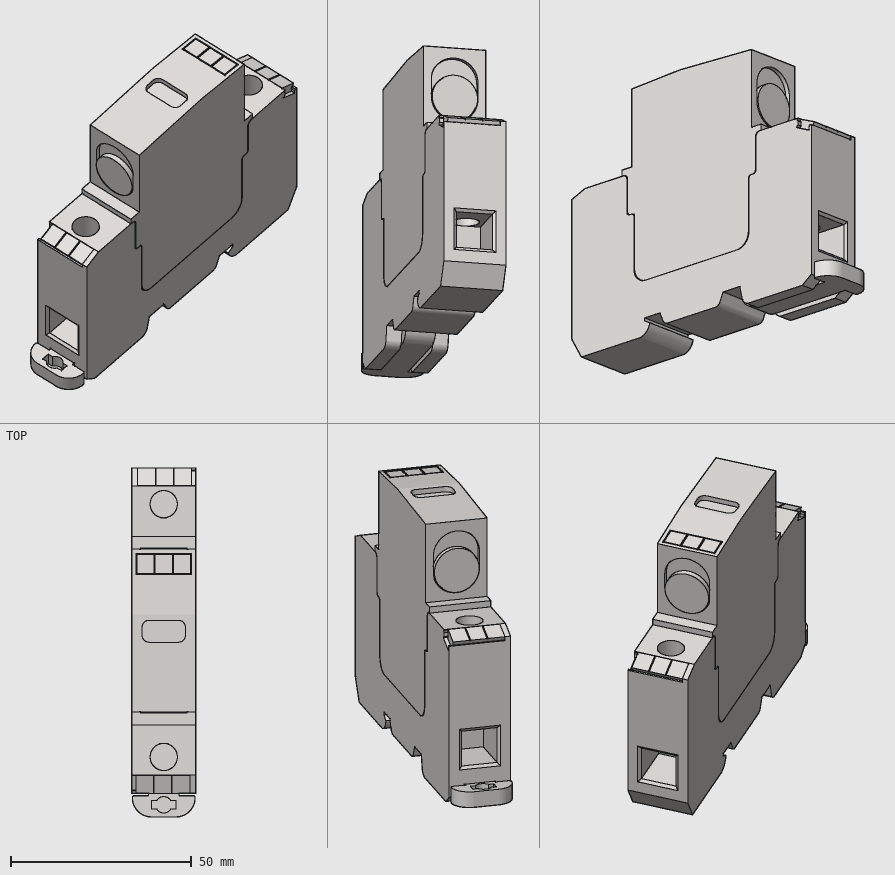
import cadquery as cq
import math

THICKNESS = 17.8
HALF_THICKNESS = THICKNESS / 2
TOTAL_LENGTH = 96.6
HALF_LENGTH = 45.0
BASE_TOP = 50.0
TOTAL_HEIGHT = 75.9

REAR_FOOT_BOTTOM = 0.4
CHAMFER_RUN = 5.0
CHAMFER_DROP = 2.0
RAIL_SEAT_Z = 5.8

FRONT_FOOT_OUTER_Y = -41.6
FRONT_FOOT_OUTER_Z = 2.4
FRONT_FOOT_INNER_Y = -21.5
FRONT_FOOT_RADIUS = 2.6
FRONT_FOOT_ARC_END = (-19.1, 1.6)
FRONT_FOOT_SEAT_Y = -18.2

MIDDLE_FOOT_Z = 2.0
MIDDLE_FOOT_BOTTOM_HALF = 9.2
MIDDLE_FOOT_ARC_MID = (10.2, 2.5)
MIDDLE_FOOT_ARC_END = (10.8, 3.5)
MIDDLE_FOOT_SEAT_HALF = 11.9

REAR_FOOT_OUTER_Y = 41.3
REAR_FOOT_OUTER_Z = 6.7
REAR_FOOT_INNER_Y = 19.1
REAR_FOOT_RADIUS = 4.3
REAR_HOOK_TIP = (15.65, 3.9)
REAR_HOOK_ROOT = (17.6, 4.9)

FIT_GAP = 0.3
SLOT_UPPER_HALF = 24.2
SLOT_LOWER_HALF = 21.6
SLOT_STEP_Z = 37.9
SLOT_FLOOR_Z = 16.9
SLOT_FLOOR_RADIUS = 4.4
SLOT_STEP_RADIUS = 1.0
SLOT_MOUTH_RADIUS = 1.5

SCREW_HOLE_DIAMETER = 7.5
SCREW_HOLE_Y = 35.0
FUNNEL_MOUTH = 12.0
FUNNEL_THROAT = 10.2
FUNNEL_DEPTH = 0.7
FUNNEL_Z = 16.1

STRIP_START_X = -7.7
STRIP_LENGTH = 15.0
TAGS_PER_STRIP = 3
GROOVE_WIDTH = 0.2
GROOVE_DEPTH = 0.3
STRIP_REAR_TOP_Y = -40.1
STRIP_REAR_HOOK = [(-39.7, 49.5), (-40.0, 49.2), (-40.0, 48.0), (-39.4, 47.4)]
STRIP_FRONT_HOOK = [(-44.1, 45.4), (-44.1, 46.5), (-44.6, 47.1)]
LEDGE_Y = -44.3
LEDGE_Z = 46.85

MODULE_HALF = 22.5
MODULE_CORNER_Z = 75.0
RIDGE_Y = 4.3
FLANGE_HALF = 26.1
FLANGE_TOP = 51.9

WINDOW_LENGTH = 12.0
WINDOW_WIDTH = 6.1
WINDOW_RADIUS = 1.9
WINDOW_Y = -0.2
WINDOW_DEPTH = 1.5

PLATE_POCKET_LENGTH = 15.5
PLATE_POCKET_WIDTH = 5.8
PLATE_Y = 18.45
PLATE_DEPTH = 1.0
PLATE_GAP = 0.3

BUTTON_DIAMETER = 12.9
BUTTON_Z = 60.6
BUTTON_PROUD = 0.3
BUTTON_SLOT_WIDTH = 13.3
BUTTON_SLOT_TRAVEL = 4.8
BUTTON_SLOT_DEPTH = 1.4

LATCH_BOTTOM = 1.2
LATCH_TOP = 5.8
LATCH_WIDTH = 8.5
LATCH_SLOT_WIDTH = 9.0
LATCH_TAB_START = 45.7
LATCH_TAB_HALF = 8.7
LATCH_TAB_CORNER = 0.3
LATCH_TAB_ARC_START = 46.8
LATCH_TAB_ARC_MID = (7.2, 49.9)
LATCH_TIP_HALF = 3.7
LATCH_END = TOTAL_LENGTH - HALF_LENGTH
NOSE_BOTTOM_Y = -18.6
NOSE_LOWER_MID = (-16.6, 1.9)
NOSE_LOWER_END = (-15.2, 3.5)
NOSE_TIP = (-15.1, 4.1)
NOSE_UPPER_END = (-15.65, 4.5)
NOSE_ROOT_Z = 5.1
KEY_HOLE_Y = -48.2
KEY_HOLE_DIAMETER = 4.5
KEY_SLOT_LENGTH = 6.8
KEY_SLOT_WIDTH = 2.4
KEY_HOLE_DEPTH = 3.9


def extrude_across(outline, width=THICKNESS, start=-HALF_THICKNESS):
    """Extrude a YZ sketch along +X."""
    return outline.extrude(width).translate((start, 0, 0))


def turned(part):
    """Turn a part half a revolution about Z, from the front end to the rear end."""
    return part.rotate((0, 0, 0), (0, 0, 1), 180)


def chamfer_z(y):
    """Height of the front end chamfer at the given Y."""
    run = -y - (HALF_LENGTH - CHAMFER_RUN)
    return BASE_TOP - CHAMFER_DROP * run / CHAMFER_RUN


def slot_section(clearance):
    """Stepped section of the pocket, drawn smaller by the clearance on its side walls."""
    upper = SLOT_UPPER_HALF - clearance
    lower = SLOT_LOWER_HALF - clearance
    floor_r = SLOT_FLOOR_RADIUS
    step_r = SLOT_STEP_RADIUS
    mouth_r = SLOT_MOUTH_RADIUS
    half = (
        cq.Workplane("YZ")
        .moveTo(0, SLOT_FLOOR_Z)
        .lineTo(lower - floor_r, SLOT_FLOOR_Z)
        .radiusArc((lower, SLOT_FLOOR_Z + floor_r), -floor_r)
        .lineTo(lower, SLOT_STEP_Z - step_r)
        .radiusArc((lower + step_r, SLOT_STEP_Z), step_r)
        .lineTo(upper - step_r, SLOT_STEP_Z)
        .radiusArc((upper, SLOT_STEP_Z + step_r), -step_r)
        .lineTo(upper, BASE_TOP - mouth_r)
        .radiusArc((upper + mouth_r, BASE_TOP), mouth_r)
        .lineTo(0, BASE_TOP)
        .close()
    )
    rear_half = extrude_across(half)
    return rear_half.union(turned(rear_half))


def strip_outline():
    """Hooked YZ outline of the front strip, flush with the end chamfer."""
    return [
        (STRIP_REAR_TOP_Y, chamfer_z(STRIP_REAR_TOP_Y)),
        *STRIP_REAR_HOOK,
        *STRIP_FRONT_HOOK,
        (-HALF_LENGTH, chamfer_z(-HALF_LENGTH)),
    ]


def strip_recess():
    """Recess for the front strip, open at the -X side and along the end face above a small ledge."""
    length = STRIP_START_X + STRIP_LENGTH + HALF_THICKNESS
    seat = extrude_across(cq.Workplane("YZ").polyline(strip_outline()).close(), length)
    mouth = [
        (-HALF_LENGTH, LEDGE_Z),
        (LEDGE_Y, LEDGE_Z),
        (LEDGE_Y, chamfer_z(LEDGE_Y)),
        (-HALF_LENGTH, chamfer_z(-HALF_LENGTH)),
    ]
    return seat.union(extrude_across(cq.Workplane("YZ").polyline(mouth).close(), length))


def terminal():
    """Screw hole and tapered wire entry at the front end."""
    entry_depth = HALF_LENGTH - SCREW_HOLE_Y + SCREW_HOLE_DIAMETER / 2
    face = cq.Workplane("XZ", origin=(0, -HALF_LENGTH, FUNNEL_Z))
    taper = math.degrees(math.atan((FUNNEL_MOUTH - FUNNEL_THROAT) / 2 / FUNNEL_DEPTH))
    mouth = face.rect(FUNNEL_MOUTH, FUNNEL_MOUTH).extrude(-FUNNEL_DEPTH, taper=taper)
    throat = face.rect(FUNNEL_THROAT, FUNNEL_THROAT).extrude(-entry_depth)
    screw = (
        cq.Workplane("XY", origin=(0, -SCREW_HOLE_Y, FUNNEL_Z))
        .circle(SCREW_HOLE_DIAMETER / 2)
        .extrude(BASE_TOP - FUNNEL_Z)
    )
    return mouth.union(throat).union(screw)


def base_block():
    """Plain base with its end chamfers and three feet."""
    arc_mid_y, arc_mid_z = MIDDLE_FOOT_ARC_MID
    arc_end_y, arc_end_z = MIDDLE_FOOT_ARC_END
    outline = (
        cq.Workplane("YZ")
        .moveTo(HALF_LENGTH, BASE_TOP - CHAMFER_DROP)
        .lineTo(HALF_LENGTH - CHAMFER_RUN, BASE_TOP)
        .lineTo(-HALF_LENGTH + CHAMFER_RUN, BASE_TOP)
        .lineTo(-HALF_LENGTH, BASE_TOP - CHAMFER_DROP)
        .lineTo(-HALF_LENGTH, FRONT_FOOT_OUTER_Z)
        .lineTo(FRONT_FOOT_OUTER_Y, 0)
        .lineTo(FRONT_FOOT_INNER_Y, 0)
        .radiusArc(FRONT_FOOT_ARC_END, -FRONT_FOOT_RADIUS)
        .lineTo(FRONT_FOOT_SEAT_Y, RAIL_SEAT_Z)
        .lineTo(-MIDDLE_FOOT_SEAT_HALF, RAIL_SEAT_Z)
        .lineTo(-arc_end_y, arc_end_z)
        .threePointArc((-arc_mid_y, arc_mid_z), (-MIDDLE_FOOT_BOTTOM_HALF, MIDDLE_FOOT_Z))
        .lineTo(MIDDLE_FOOT_BOTTOM_HALF, MIDDLE_FOOT_Z)
        .threePointArc(MIDDLE_FOOT_ARC_MID, MIDDLE_FOOT_ARC_END)
        .lineTo(MIDDLE_FOOT_SEAT_HALF, RAIL_SEAT_Z)
        .lineTo(REAR_HOOK_ROOT[0], RAIL_SEAT_Z)
        .lineTo(*REAR_HOOK_ROOT)
        .lineTo(*REAR_HOOK_TIP)
        .radiusArc((REAR_FOOT_INNER_Y, REAR_FOOT_BOTTOM), -REAR_FOOT_RADIUS)
        .lineTo(REAR_FOOT_OUTER_Y, REAR_FOOT_BOTTOM)
        .lineTo(HALF_LENGTH, REAR_FOOT_OUTER_Z)
        .close()
    )
    return extrude_across(outline)


def make_base():
    latch_slot = cq.Workplane("XY", origin=(0, -HALF_LENGTH, 0)).box(
        LATCH_SLOT_WIDTH, HALF_LENGTH + FRONT_FOOT_SEAT_Y, LATCH_TOP, centered=(True, False, False)
    )
    base = base_block().cut(slot_section(0)).cut(latch_slot)
    for cutter in (strip_recess(), terminal()):
        base = base.cut(cutter).cut(turned(cutter))
    return base


def make_strip():
    """Front marker strip, divided into tags by shallow grooves."""
    strip = extrude_across(
        cq.Workplane("YZ").polyline(strip_outline()).close(), STRIP_LENGTH, STRIP_START_X
    )
    pitch = STRIP_LENGTH / TAGS_PER_STRIP
    groove = [
        (-HALF_LENGTH, chamfer_z(-HALF_LENGTH) - GROOVE_DEPTH),
        (-HALF_LENGTH, BASE_TOP),
        (STRIP_REAR_TOP_Y, BASE_TOP),
        (STRIP_REAR_TOP_Y, chamfer_z(STRIP_REAR_TOP_Y) - GROOVE_DEPTH),
    ]
    for i in range(1, TAGS_PER_STRIP):
        start = STRIP_START_X + i * pitch - GROOVE_WIDTH / 2
        strip = strip.cut(
            extrude_across(cq.Workplane("YZ").polyline(groove).close(), GROOVE_WIDTH, start)
        )
    return strip


def below_roof(lowered=0):
    """Upper block of the module, under its ridged roof or under that roof lowered by a depth."""
    outline = [
        (-MODULE_HALF, BASE_TOP),
        (-MODULE_HALF, MODULE_CORNER_Z - lowered),
        (RIDGE_Y, TOTAL_HEIGHT - lowered),
        (MODULE_HALF, MODULE_CORNER_Z - lowered),
        (MODULE_HALF, BASE_TOP),
    ]
    return extrude_across(cq.Workplane("YZ").polyline(outline).close())


def column(length, width, y):
    """Upright block from the flange up to the full height."""
    return (
        cq.Workplane("XY", origin=(0, y, FLANGE_TOP))
        .rect(length, width)
        .extrude(TOTAL_HEIGHT - FLANGE_TOP)
    )


def make_module():
    flange = cq.Workplane("XY", origin=(0, 0, BASE_TOP)).rect(THICKNESS, 2 * FLANGE_HALF)
    module = slot_section(FIT_GAP).union(flange.extrude(FLANGE_TOP - BASE_TOP)).union(below_roof())
    window = column(WINDOW_LENGTH, WINDOW_WIDTH, WINDOW_Y).edges("|Z").fillet(WINDOW_RADIUS)
    module = module.cut(window.cut(below_roof(WINDOW_DEPTH)))
    plate_pocket = column(PLATE_POCKET_LENGTH, PLATE_POCKET_WIDTH, PLATE_Y)
    module = module.cut(plate_pocket.cut(below_roof(PLATE_DEPTH)))
    button_slot = (
        cq.Workplane("XZ", origin=(0, -MODULE_HALF, BUTTON_Z + BUTTON_SLOT_TRAVEL / 2))
        .slot2D(BUTTON_SLOT_TRAVEL + BUTTON_SLOT_WIDTH, BUTTON_SLOT_WIDTH, 90)
        .extrude(-BUTTON_SLOT_DEPTH)
    )
    return module.cut(button_slot).cut(turned(button_slot))


def make_plate():
    """Marker plate, flush with the roof, with a gap all round and grooves between its tags."""
    length = PLATE_POCKET_LENGTH - 2 * PLATE_GAP
    width = PLATE_POCKET_WIDTH - 2 * PLATE_GAP
    plate = column(length, width, PLATE_Y).intersect(below_roof()).cut(below_roof(PLATE_DEPTH))
    pitch = (length + PLATE_GAP) / TAGS_PER_STRIP
    for i in range(1, TAGS_PER_STRIP):
        x = i * pitch - (length + PLATE_GAP) / 2
        groove = column(PLATE_GAP, width, PLATE_Y).translate((x, 0, 0))
        plate = plate.cut(groove.cut(below_roof(GROOVE_DEPTH)))
    return plate


def make_button():
    """Front button, which rests on the floor of its slot and stands slightly proud."""
    return (
        cq.Workplane("XZ", origin=(0, -MODULE_HALF + BUTTON_SLOT_DEPTH, BUTTON_Z))
        .circle(BUTTON_DIAMETER / 2)
        .extrude(BUTTON_SLOT_DEPTH + BUTTON_PROUD)
    )


def make_latch():
    """Sliding bar with a nose for the rail and a pull tab that has a keyed blind hole."""
    bar = (
        cq.Workplane("YZ")
        .moveTo(-LATCH_TAB_START, LATCH_BOTTOM)
        .lineTo(NOSE_BOTTOM_Y, LATCH_BOTTOM)
        .threePointArc(NOSE_LOWER_MID, NOSE_LOWER_END)
        .threePointArc(NOSE_TIP, NOSE_UPPER_END)
        .lineTo(FRONT_FOOT_SEAT_Y, NOSE_ROOT_Z)
        .lineTo(FRONT_FOOT_SEAT_Y, LATCH_TOP)
        .lineTo(-LATCH_TAB_START, LATCH_TOP)
        .close()
    )
    arc_x, arc_y = LATCH_TAB_ARC_MID
    tab = (
        cq.Workplane("XY", origin=(0, 0, LATCH_BOTTOM))
        .moveTo(LATCH_TAB_CORNER - LATCH_TAB_HALF, -LATCH_TAB_START)
        .lineTo(LATCH_TAB_HALF - LATCH_TAB_CORNER, -LATCH_TAB_START)
        .lineTo(LATCH_TAB_HALF, -LATCH_TAB_START - LATCH_TAB_CORNER)
        .lineTo(LATCH_TAB_HALF, -LATCH_TAB_ARC_START)
        .threePointArc((arc_x, -arc_y), (LATCH_TIP_HALF, -LATCH_END))
        .lineTo(-LATCH_TIP_HALF, -LATCH_END)
        .threePointArc((-arc_x, -arc_y), (-LATCH_TAB_HALF, -LATCH_TAB_ARC_START))
        .lineTo(-LATCH_TAB_HALF, -LATCH_TAB_START - LATCH_TAB_CORNER)
        .close()
        .extrude(LATCH_TOP - LATCH_BOTTOM)
    )
    hole_top = cq.Workplane("XY", origin=(0, KEY_HOLE_Y, LATCH_TOP))
    round_hole = hole_top.circle(KEY_HOLE_DIAMETER / 2).extrude(-KEY_HOLE_DEPTH)
    key_slot = hole_top.rect(KEY_SLOT_LENGTH, KEY_SLOT_WIDTH).extrude(-KEY_HOLE_DEPTH)
    latch = extrude_across(bar, LATCH_WIDTH, -LATCH_WIDTH / 2).union(tab)
    return latch.cut(round_hole).cut(key_slot)


base = make_base()
module = make_module()
plate = make_plate()
latch = make_latch()
front_strip = make_strip()
front_button = make_button()
bodies = [base.val(), module.val(), plate.val(), latch.val()]
for end_part in (front_strip, front_button):
    bodies += [end_part.val(), turned(end_part).val()]
result = cq.Compound.makeCompound(bodies)